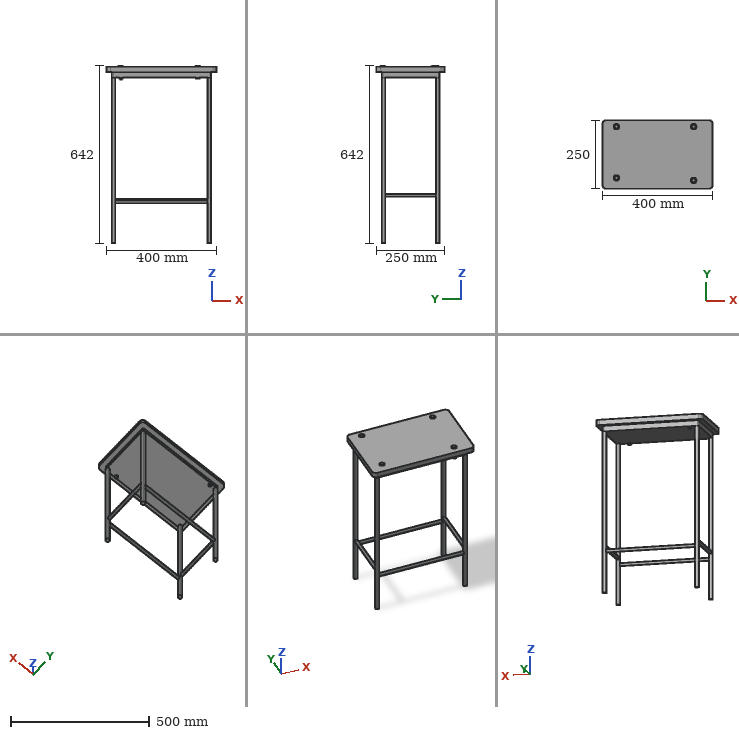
import cadquery as cq

length = 400.0
width = 250.0
height = 642.0

head_height = 2.5
board_thickness = 20.0
board_corner_radius = 15.0
board_top = height - head_height
board_bottom = board_top - board_thickness

support_x = -0.5
support_length = 360.0
support_width = 210.0
support_thickness = 20.0
support_corner_radius = 5.0
support_bottom = board_bottom - support_thickness

leg_side = 13.5
leg_edge_radius = 2.5
leg_x = (support_length - leg_side) / 2
leg_y = (support_width - leg_side) / 2
rail_side = 11.0
rail_edge_radius = 2.5
front_rail_z = 149.5
back_rail_z = 155.5
side_rail_z = 173.0

head_diameter = 20.5
head_top_diameter = 13.5
left_bolt_x = -149.0
right_bolt_x = 131.0
back_bolt_y = 101.0
head_positions = [
    (left_bolt_x, back_bolt_y),
    (right_bolt_x, back_bolt_y),
    (left_bolt_x, -85.0),
    (right_bolt_x, -94.0),
]

nut_corner_diameter = 13.5
nut_height = 5.0
tip_diameter = 6.5
tip_height = 2.5
back_nut_position = (-147.0, 99.0)
front_nut_position = (right_bolt_x, -99.0)


def bar(size_x, size_y, size_z, center, rounded_edges, radius):
    """Box with the selected edges rounded."""
    box = cq.Workplane("XY").box(size_x, size_y, size_z)
    return box.edges(rounded_edges).fillet(radius).translate(center)


def bolt_head(x, y):
    """Low truncated cone standing on the board."""
    base = cq.Workplane("XY", origin=(x, y, board_top)).circle(head_diameter / 2)
    return base.workplane(offset=head_height).circle(head_top_diameter / 2).loft(ruled=True)


def nut(x, y):
    """Hexagonal nut hanging from the support plate."""
    face = cq.Workplane("XY", origin=(x, y, support_bottom))
    return face.polygon(6, nut_corner_diameter).extrude(-nut_height)


def bolt_tip(x, y):
    """Round bolt end sticking out below a nut."""
    face = cq.Workplane("XY", origin=(x, y, support_bottom - nut_height))
    return face.circle(tip_diameter / 2).extrude(-tip_height)


board_center = (0, 0, board_bottom + board_thickness / 2)
result = bar(length, width, board_thickness, board_center, "|Z", board_corner_radius)
support_center = (support_x, 0, support_bottom + support_thickness / 2)
result = result.union(
    bar(support_length, support_width, support_thickness, support_center, "|Z", support_corner_radius)
)

for x in (support_x - leg_x, support_x + leg_x):
    for y in (-leg_y, leg_y):
        leg_center = (x, y, support_bottom / 2)
        result = result.union(bar(leg_side, leg_side, support_bottom, leg_center, "|Z", leg_edge_radius))

for y, z in ((-leg_y, front_rail_z), (leg_y, back_rail_z)):
    rail_center = (support_x, y, z)
    result = result.union(bar(2 * leg_x, rail_side, rail_side, rail_center, "|X", rail_edge_radius))

for x in (support_x - leg_x, support_x + leg_x):
    rail_center = (x, 0, side_rail_z)
    result = result.union(bar(rail_side, 2 * leg_y, rail_side, rail_center, "|Y", rail_edge_radius))

for x, y in head_positions:
    result = result.union(bolt_head(x, y))
for x, y in (back_nut_position, front_nut_position):
    result = result.union(nut(x, y))
result = result.union(bolt_tip(*back_nut_position))